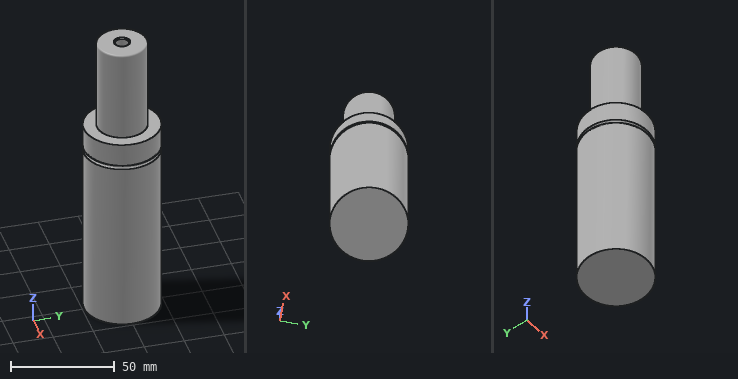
import cadquery as cq
import math

total_height = 150.0
body_diameter = 38.0
rod_diameter = 25.0
rod_length = 47.0
rod_end_fillet = 1.0

collar_height = 12.0
groove_radius = 1.0

hole_diameter = 6.8
hole_mouth_diameter = 8.0
hole_depth = 16.0
drill_point_angle = 118.0

body_radius = body_diameter / 2
rod_radius = rod_diameter / 2
hole_radius = hole_diameter / 2
hole_mouth_radius = hole_mouth_diameter / 2
mouth_chamfer = hole_mouth_radius - hole_radius
shoulder_z = total_height - rod_length
collar_bottom_z = shoulder_z - collar_height
groove_center_z = collar_bottom_z - groove_radius
hole_bottom_z = total_height - hole_depth
drill_tip_z = hole_bottom_z - hole_radius / math.tan(math.radians(drill_point_angle / 2))


def make_cylinder_with_rod():
    """Body, collar and rod turned in one piece, with the free rod end rounded."""
    body = cq.Workplane("XY").circle(body_radius).extrude(shoulder_z)
    rod = cq.Workplane("XY").workplane(offset=shoulder_z).circle(rod_radius).extrude(rod_length)
    rod = rod.faces(">Z").edges().fillet(rod_end_fillet)
    return body.union(rod)


def make_groove():
    """Ring of round section, centred on the body surface just below the collar."""
    section = cq.Workplane("XZ").center(body_radius, groove_center_z).circle(groove_radius)
    return section.revolve(360, (-body_radius, 0, 0), (-body_radius, 1, 0))


def make_rod_hole():
    """Drilled hole with a countersunk mouth and a conical bottom."""
    outline = [
        (0, drill_tip_z),
        (hole_radius, hole_bottom_z),
        (hole_radius, total_height - mouth_chamfer),
        (hole_mouth_radius, total_height),
        (0, total_height),
    ]
    return cq.Workplane("XZ").polyline(outline).close().revolve(360, (0, 0, 0), (0, 1, 0))


result = make_cylinder_with_rod().cut(make_groove()).cut(make_rod_hole())